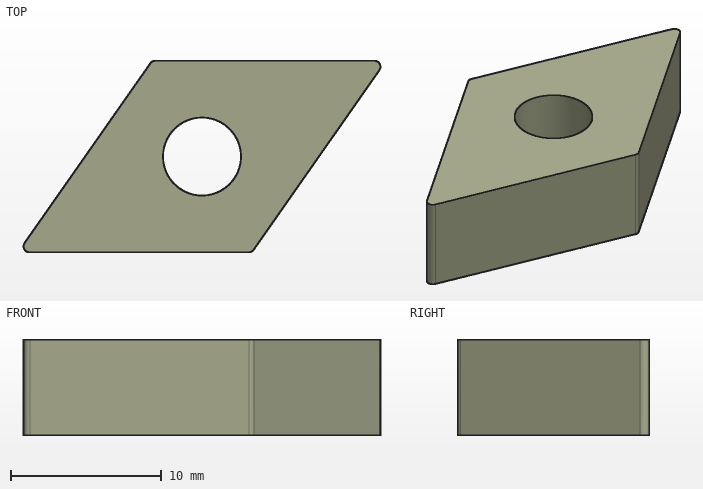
import cadquery as cq
import math

inscribed_circle = 12.7
thickness = 6.35
corner_angle = math.radians(55)
corner_radius = 0.4
hole_diameter = 5.15

side = inscribed_circle / math.sin(corner_angle)
lean = side * math.cos(corner_angle)
half_width = inscribed_circle / 2
corners = [
    (-(side + lean) / 2, -half_width),
    ((side - lean) / 2, -half_width),
    ((side + lean) / 2, half_width),
    (-(side - lean) / 2, half_width),
]

body = cq.Workplane("XY").polyline(corners).close().extrude(thickness)
body = body.edges("|Z").fillet(corner_radius)

result = body.faces(">Z").workplane(origin=(0, 0, thickness)).hole(hole_diameter)